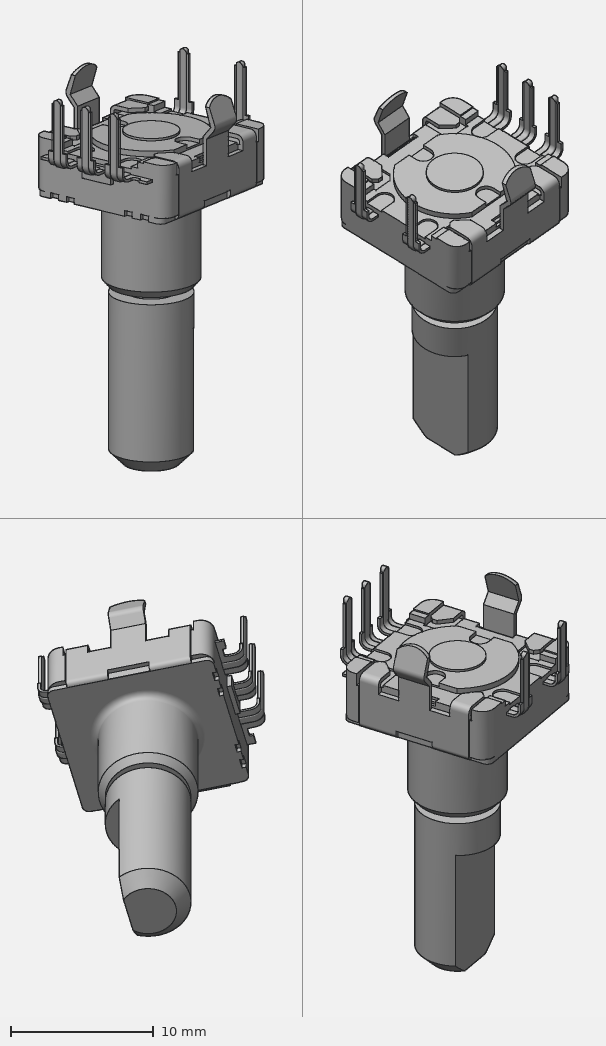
import cadquery as cq


body_x = 11.67
body_y = 11.98
half_x = body_x / 2
half_y = body_y / 2
corner_radius = 1.0
post_top = 4.35
base_top = 3.78
sheet = 0.3

plate_height = 0.42
plate_x = 11.0
plate_radius = 0.5
case_edge_y = 4.48
case_slit = 0.05
front_notches = [(2.23, 2.88), (3.6, 4.31)]
front_notch_depth = 0.28
side_notch_half = 1.5
side_notch_height = 0.68

post_inner_x = 3.35
post_step_x = 3.85
post_step_drop = 0.1
post_inner_y = 4.7

tab_top = 4.31
tab_inner_x = 3.4
tab_inner_y = 2.93
tab_bend = 0.5
tab_chamfer = 0.85
tab_tip_chamfer = 0.35
pocket_floor = 3.6
pocket_inner_x = 3.15
pocket_inner_y = 2.8
pocket_chamfer = 0.45
gap_window_floor = 3.4
gap_window_height = 0.25
gap_window_depth = 0.48

opening_floor = 3.21
opening_depth = 0.42
clip_slot_floor = 3.4
clip_slot_ledge = 3.58
clip_slot_step_x = 5.2
clip_slot_inner_x = 4.94

groove_x = 2.1
groove_width = 1.38
groove_length = 1.72
groove_depth = 0.17

disc_diameter = 8.6
disc_flats = 7.4
disc_top = 4.2
disc_slot_width = 1.47
disc_slot_length = 1.4
disc_slot_depth = 0.28
cap_diameter = 4.0
cap_top = 4.37

clip_width = 2.5
clip_straight_top = 5.15
clip_knee_x = 6.5
clip_knee_z = 6.05
clip_tip_x = 5.72
clip_top = 8.05
clip_shoulder = 7.53
clip_knee_radius = 0.54

pin_pitch = 2.48
pin_top = clip_top
pin_shoulder = 7.7
foot_z = 3.0
terminal_sheet = 0.2
terminal_width = 1.55
middle_terminal_width = 1.47
terminal_wide_top = 4.17
leg_width = 0.9
rib_width = 0.55
rib_raise = 0.08
bend_radius = 0.68
rib_round = 0.08
front_reach = 7.7
rear_reach = 7.25
embed = 0.28

bar_outer_x = 4.65
bar_inner_x = 2.25
bar_reach = 0.62
bar_notch_x = 3.6
bar_notch_width = 0.68
bar_notch_depth = 0.28

block_width = 2.5
block_reach = 0.35
block_bottom = 2.2
block_top = 3.4

bushing_diameter = 7.0
bushing_bottom = -7.02
bushing_chamfer_height = 0.55
bushing_end_diameter = 6.0
bushing_fillet = 0.5
neck_diameter = 3.5
shaft_diameter = 6.0
shaft_top = -7.55
shaft_end = -20.15
shaft_chamfer = 1.02
flat_top = -10.15
flat_y = 1.45


def block(x0, x1, y0, y1, z0, z1):
    """Box between two opposite corners."""
    return cq.Workplane("XY").box(x1 - x0, y1 - y0, z1 - z0, centered=False).translate((x0, y0, z0))


def both_x(shape):
    return shape.union(shape.mirror("YZ"))


def all_corners(shape):
    pair = both_x(shape)
    return pair.union(pair.mirror("XZ"))


def housing_block(bottom, top):
    return (
        cq.Workplane("XY", origin=(0, 0, bottom))
        .rect(body_x, body_y)
        .extrude(top - bottom)
        .edges("|Z")
        .fillet(corner_radius)
    )


def bottom_plate():
    plate = cq.Workplane("XY").rect(plate_x, body_y).extrude(plate_height).edges("|Z").fillet(plate_radius)
    rolled = cq.Workplane("XY").rect(body_x, 2 * case_edge_y).extrude(2 * plate_height)
    rolled = rolled.faces("<Z").edges("|Y").fillet(plate_height)
    plate = plate.union(rolled)
    for start, end in front_notches:
        notch = block(start, end, -half_y, front_notch_depth - half_y, 0, plate_height)
        plate = plate.cut(both_x(notch))
    return plate


def side_notches():
    """Notches in the lower edge of both metal side walls."""
    notch = block(half_x - sheet, half_x, -side_notch_half, side_notch_half, 0, side_notch_height)
    return both_x(notch)


def corner_posts():
    column = block(post_inner_x, half_x, post_inner_y, half_y, 0, post_top)
    step = block(post_inner_x, post_step_x, post_inner_y, half_y, post_top - post_step_drop, post_top)
    post = housing_block(plate_height, post_top).intersect(column.cut(step))
    return all_corners(post)


def tab_pockets():
    pocket = block(pocket_inner_x, half_x, pocket_inner_y, post_inner_y, pocket_floor, base_top)
    pocket = pocket.edges("|Z and <X and <Y").chamfer(pocket_chamfer)
    window = block(
        half_x - gap_window_depth, half_x, case_edge_y, post_inner_y,
        gap_window_floor, gap_window_floor + gap_window_height,
    )
    return all_corners(pocket.union(window))


def case_slits():
    """Thin upright gaps at the ends of the metal side walls."""
    slit = block(
        half_x - sheet, half_x, case_edge_y, case_edge_y + case_slit, plate_height, base_top,
    )
    return all_corners(slit)


def folded_tabs():
    """Side wall extensions folded inwards over the pockets."""
    outer = block(tab_inner_x, half_x, tab_inner_y, case_edge_y, pocket_floor - sheet, tab_top)
    outer = outer.edges("|Y and >X and >Z").fillet(tab_bend)
    inner = block(
        tab_inner_x, half_x - sheet, tab_inner_y, case_edge_y, pocket_floor - sheet, tab_top - sheet,
    )
    inner = inner.edges("|Y and >X and >Z").fillet(tab_bend - sheet)
    tab = outer.cut(inner)
    tab = tab.edges("|Z and <X and <Y").chamfer(tab_chamfer)
    tab = tab.edges("|Z and <X and >Y").chamfer(tab_tip_chamfer)
    return all_corners(tab)


def side_openings():
    """Gaps along the side walls between the tabs, and the stepped slots behind the clips."""
    opening = block(half_x - opening_depth, half_x, 0, tab_inner_y, opening_floor, base_top)
    slot = block(clip_slot_step_x, half_x - sheet, 0, side_notch_half, clip_slot_floor, base_top)
    ledge = block(clip_slot_inner_x, clip_slot_step_x, 0, side_notch_half, clip_slot_ledge, base_top)
    return all_corners(opening.union(slot).union(ledge))


def edge_grooves():
    radius = groove_width / 2
    center_y = half_y - groove_length + radius
    round_end = (
        cq.Workplane("XY", origin=(groove_x, center_y, base_top - groove_depth))
        .circle(radius)
        .extrude(groove_depth)
    )
    channel = block(
        groove_x - radius, groove_x + radius, center_y, half_y, base_top - groove_depth, base_top,
    )
    return all_corners(channel.union(round_end))


def rotor_disc():
    disc = cq.Workplane("XY", origin=(0, 0, base_top)).circle(disc_diameter / 2).extrude(disc_top - base_top)
    disc = disc.intersect(
        block(-disc_flats / 2, disc_flats / 2, -half_y, half_y, base_top, disc_top)
    )
    slot = (
        cq.Workplane("XY", origin=(disc_flats / 2, 0, disc_top - disc_slot_depth))
        .slot2D(2 * disc_slot_length, disc_slot_width)
        .extrude(disc_slot_depth)
    )
    cap = cq.Workplane("XY", origin=(0, 0, base_top)).circle(cap_diameter / 2).extrude(cap_top - base_top)
    return disc.cut(both_x(slot)).union(cap)


def spring_clips():
    inner_x = half_x - sheet
    strip = (
        cq.Workplane("XZ", origin=(0, clip_width / 2, 0))
        .moveTo(half_x, opening_floor)
        .lineTo(half_x, clip_straight_top)
        .lineTo(clip_knee_x + sheet / 2, clip_knee_z)
        .lineTo(clip_tip_x + sheet / 2, clip_top)
        .lineTo(clip_tip_x - sheet / 2, clip_top)
        .lineTo(clip_knee_x - sheet, clip_knee_z)
        .lineTo(inner_x, clip_straight_top + sheet / 2)
        .lineTo(inner_x, opening_floor)
        .close()
        .extrude(clip_width)
        .edges("|Y and >X")
        .fillet(clip_knee_radius)
    )
    rounded_outline = (
        cq.Workplane("YZ")
        .moveTo(-clip_width / 2, opening_floor)
        .lineTo(-clip_width / 2, clip_shoulder)
        .threePointArc((0, clip_top), (clip_width / 2, clip_shoulder))
        .lineTo(clip_width / 2, opening_floor)
        .close()
        .extrude(body_x)
    )
    return both_x(strip.intersect(rounded_outline))


def bent_strip(center_x, width, reach, thickness, raise_by, top):
    """L-shaped strip leaving the rear face and turning up, its outer side at y = reach."""
    outer = bend_radius + raise_by
    inner = outer - thickness
    bottom = foot_z - raise_by
    return (
        cq.Workplane("YZ", origin=(center_x - width / 2, 0, 0))
        .moveTo(half_y - embed, bottom)
        .lineTo(reach - outer, bottom)
        .radiusArc((reach, bottom + outer), -outer)
        .lineTo(reach, top)
        .lineTo(reach - thickness, top)
        .lineTo(reach - thickness, bottom + outer)
        .radiusArc((reach - outer, bottom + thickness), inner)
        .lineTo(half_y - embed, bottom + thickness)
        .close()
        .extrude(width)
    )


def terminal(center_x, reach, width):
    """Rear terminal: a wide foot, a narrow leg and a round-tipped rib along the middle of both."""
    flat_reach = reach - rib_raise
    foot = bent_strip(center_x, width, flat_reach, terminal_sheet, 0, terminal_wide_top)
    leg = bent_strip(center_x, leg_width, flat_reach, terminal_sheet, 0, pin_shoulder)
    rib_thickness = terminal_sheet + 2 * rib_raise
    rib = bent_strip(center_x, rib_width, reach, rib_thickness, rib_raise, pin_top + rib_width)
    rib = rib.faces("<X or >X").edges().fillet(rib_round)
    rib_outline = (
        cq.Workplane("XZ", origin=(center_x, 0, pin_top / 2))
        .slot2D(pin_top, rib_width, 90)
        .extrude(-2 * reach)
    )
    return foot.union(leg).union(rib.intersect(rib_outline))


def terminals():
    front = terminal(0, front_reach, middle_terminal_width)
    front = front.union(both_x(terminal(pin_pitch, front_reach, terminal_width)))
    rear = both_x(terminal(pin_pitch, rear_reach, terminal_width))
    return front.mirror("XZ").union(rear)


def front_bars():
    bar = block(
        bar_inner_x, bar_outer_x, -half_y - bar_reach, embed - half_y, foot_z, foot_z + terminal_sheet,
    )
    notch = block(
        bar_notch_x - bar_notch_width / 2, bar_notch_x + bar_notch_width / 2,
        -half_y - bar_reach, -half_y - bar_reach + bar_notch_depth,
        foot_z, foot_z + terminal_sheet,
    )
    notch = notch.edges("|Z and >Y").fillet(bar_notch_depth / 2)
    return both_x(bar.cut(notch))


def front_block():
    return block(
        -block_width / 2, block_width / 2, -half_y - block_reach, embed - half_y, block_bottom, block_top,
    )


def bushing_and_shaft():
    bushing_radius = bushing_diameter / 2
    neck_radius = neck_diameter / 2
    shaft_radius = shaft_diameter / 2
    turned = (
        cq.Workplane("XZ")
        .moveTo(0, embed)
        .lineTo(bushing_radius + bushing_fillet, embed)
        .lineTo(bushing_radius + bushing_fillet, 0)
        .radiusArc((bushing_radius, -bushing_fillet), -bushing_fillet)
        .lineTo(bushing_radius, bushing_bottom + bushing_chamfer_height)
        .lineTo(bushing_end_diameter / 2, bushing_bottom)
        .lineTo(neck_radius, bushing_bottom)
        .lineTo(neck_radius, shaft_top)
        .lineTo(shaft_radius, shaft_top)
        .lineTo(shaft_radius, shaft_end + shaft_chamfer)
        .lineTo(shaft_radius - shaft_chamfer, shaft_end)
        .lineTo(0, shaft_end)
        .close()
        .revolve(360, (0, 0, 0), (0, 1, 0))
    )
    flat = block(-shaft_radius, shaft_radius, flat_y, shaft_radius, shaft_end, flat_top)
    return turned.cut(flat)


housing = housing_block(plate_height, base_top).union(bottom_plate())
housing = housing.union(corner_posts())
housing = housing.cut(tab_pockets()).cut(side_openings()).cut(edge_grooves())
housing = housing.cut(side_notches()).cut(case_slits())
housing = housing.union(folded_tabs()).union(spring_clips()).union(rotor_disc())
housing = housing.union(front_block()).union(front_bars()).union(terminals())
result = housing.union(bushing_and_shaft())